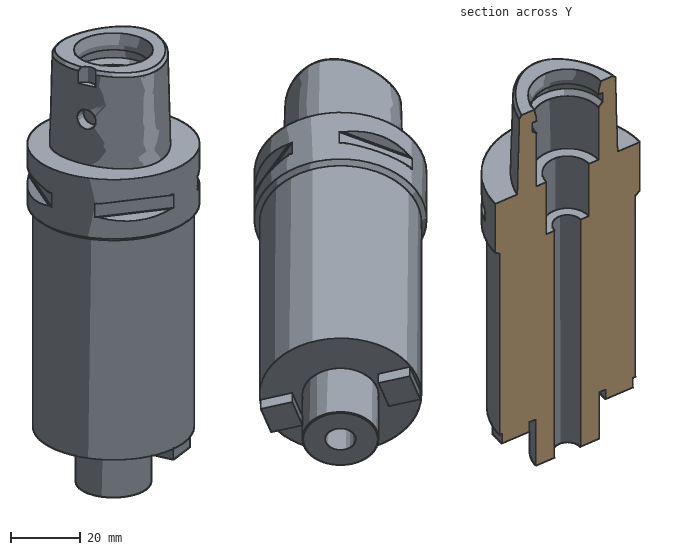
import cadquery as cq
import math

TOTAL_HEIGHT = 138.0
SHANK_LENGTH = 30.0
FLANGE_LENGTH = 20.1
PILOT_LENGTH = 18.0
SHANK_BASE_Z = TOTAL_HEIGHT - SHANK_LENGTH
FLANGE_BASE_Z = SHANK_BASE_Z - FLANGE_LENGTH

FLANGE_RADIUS = 25.0
BODY_RADIUS = 23.5
FLANGE_CHAMFER_HEIGHT = 1.2
PILOT_RADIUS = 11.0
PILOT_CHAMFER = 0.3

SHANK_BASE_RADIUS = 17.5
SHANK_TAPER = 1 / 40
LOBE_RISE = 1.0
LOBE_COUNT = 3
SHANK_CHAMFER_HEIGHT = 1.1
SHANK_CHAMFER_INSET = 0.8

MOUTH_RADIUS = 11.5
BORE_RADIUS = 10.6
GROOVE_RADIUS = 12.1
SCREW_SEAT_RADIUS = 7.3
COOLANT_RADIUS = 4.4
MOUTH_CONE_DEPTH = 3.5
GROOVE_TOP_DEPTH = 5.0
GROOVE_BOTTOM_DEPTH = 9.7
BORE_DEPTH = SHANK_LENGTH
SCREW_SEAT_DEPTH = SHANK_LENGTH + FLANGE_LENGTH

NOTCH_RADIUS = 3.2
NOTCH_CENTER_Y = -17.0
NOTCH_DEPTH = 5.0
SIDE_HOLE_RADIUS = 3.0
SIDE_HOLE_DEPTH_BELOW_TOP = 15.7
SIDE_HOLE_FLOOR_Y = -12.4

SLOT_COUNT = 4
SLOT_FIRST_ANGLE = 45
SLOT_FLOOR_RADIUS = 22.0
SLOT_FLARE_RADIUS = 22.5
SLOT_FLOOR_HEIGHT = 4.3
SLOT_MOUTH_HEIGHT = 6.8
SLOT_CENTER_Z = SHANK_BASE_Z - FLANGE_LENGTH / 2

KEY_INNER_X = 13.1
KEY_OUTER_X = 22.6
KEY_WIDTH = 10.1
KEY_HEIGHT = 3.7


def revolve_profile(points):
    """Turn a closed (radius, z) outline about the Z axis."""
    return cq.Workplane("XZ").polyline(points).close().revolve(360, (0, 0), (0, 1))


def turned_body():
    return revolve_profile([
        (0, 0),
        (PILOT_RADIUS - PILOT_CHAMFER, 0),
        (PILOT_RADIUS, PILOT_CHAMFER),
        (PILOT_RADIUS, PILOT_LENGTH),
        (BODY_RADIUS, PILOT_LENGTH),
        (BODY_RADIUS, FLANGE_BASE_Z),
        (FLANGE_RADIUS, FLANGE_BASE_Z + FLANGE_CHAMFER_HEIGHT),
        (FLANGE_RADIUS, SHANK_BASE_Z),
        (0, SHANK_BASE_Z),
    ])


def lobed_wire(mean_radius, z):
    """Rounded three-lobed curve with one lobe pointing along +Y.

    A point circling at mean_radius is shifted by LOBE_RISE in a direction that
    turns backwards (LOBE_COUNT - 1) times per lap, which raises the lobes.
    """
    def point(t):
        angle = 2 * math.pi * t
        shift_angle = (LOBE_COUNT - 1) * angle
        across = mean_radius * math.sin(angle) - LOBE_RISE * math.sin(shift_angle)
        along = mean_radius * math.cos(angle) + LOBE_RISE * math.cos(shift_angle)
        return (across, along, z)

    return cq.Workplane("XY").parametricCurve(point, N=72).val()


def lobed_frustum(bottom_radius, bottom_z, top_radius, top_z):
    wires = [lobed_wire(bottom_radius, bottom_z), lobed_wire(top_radius, top_z)]
    return cq.Workplane(obj=cq.Solid.makeLoft(wires, True))


def shank():
    chamfer_z = TOTAL_HEIGHT - SHANK_CHAMFER_HEIGHT
    chamfer_radius = SHANK_BASE_RADIUS - SHANK_TAPER * (chamfer_z - SHANK_BASE_Z)
    taper = lobed_frustum(SHANK_BASE_RADIUS, SHANK_BASE_Z, chamfer_radius, chamfer_z)
    rim = lobed_frustum(chamfer_radius, chamfer_z, chamfer_radius - SHANK_CHAMFER_INSET, TOTAL_HEIGHT)
    return taper.union(rim)


def stepped_bore():
    groove_top_z = TOTAL_HEIGHT - GROOVE_TOP_DEPTH
    groove_bottom_z = TOTAL_HEIGHT - GROOVE_BOTTOM_DEPTH
    groove_slope_height = GROOVE_RADIUS - BORE_RADIUS
    bore_floor_z = TOTAL_HEIGHT - BORE_DEPTH
    screw_seat_z = TOTAL_HEIGHT - SCREW_SEAT_DEPTH
    return revolve_profile([
        (0, 0),
        (COOLANT_RADIUS, 0),
        (COOLANT_RADIUS, screw_seat_z),
        (SCREW_SEAT_RADIUS, screw_seat_z),
        (SCREW_SEAT_RADIUS, bore_floor_z),
        (BORE_RADIUS, bore_floor_z),
        (BORE_RADIUS, groove_bottom_z),
        (GROOVE_RADIUS, groove_bottom_z + groove_slope_height),
        (GROOVE_RADIUS, groove_top_z),
        (BORE_RADIUS, groove_top_z),
        (BORE_RADIUS, TOTAL_HEIGHT - MOUTH_CONE_DEPTH),
        (MOUTH_RADIUS, TOTAL_HEIGHT),
        (0, TOTAL_HEIGHT),
    ])


def rim_notch():
    return (
        cq.Workplane("XY", origin=(0, NOTCH_CENTER_Y, TOTAL_HEIGHT - NOTCH_DEPTH))
        .circle(NOTCH_RADIUS)
        .extrude(NOTCH_DEPTH)
    )


def side_hole():
    return (
        cq.Workplane("XZ", origin=(0, SIDE_HOLE_FLOOR_Y, TOTAL_HEIGHT - SIDE_HOLE_DEPTH_BELOW_TOP))
        .circle(SIDE_HOLE_RADIUS)
        .extrude(FLANGE_RADIUS + SIDE_HOLE_FLOOR_Y)
    )


def gripper_slot(angle):
    """Straight slot with a flat floor and flared sides, facing the given angle."""
    half_floor = SLOT_FLOOR_HEIGHT / 2
    half_mouth = SLOT_MOUTH_HEIGHT / 2
    return (
        cq.Workplane("XZ", origin=(0, 0, SLOT_CENTER_Z))
        .polyline([
            (SLOT_FLOOR_RADIUS, -half_floor),
            (SLOT_FLARE_RADIUS, -half_floor),
            (FLANGE_RADIUS, -half_mouth),
            (FLANGE_RADIUS, half_mouth),
            (SLOT_FLARE_RADIUS, half_floor),
            (SLOT_FLOOR_RADIUS, half_floor),
        ])
        .close()
        .extrude(FLANGE_RADIUS, both=True)
        .rotate((0, 0, 0), (0, 0, 1), angle)
    )


def drive_key(side):
    key_center_x = side * (KEY_INNER_X + KEY_OUTER_X) / 2
    return (
        cq.Workplane("XY", origin=(key_center_x, 0, PILOT_LENGTH))
        .rect(KEY_OUTER_X - KEY_INNER_X, KEY_WIDTH)
        .extrude(-KEY_HEIGHT)
    )


result = turned_body().union(shank())
for side in (-1, 1):
    result = result.union(drive_key(side))
for index in range(SLOT_COUNT):
    result = result.cut(gripper_slot(SLOT_FIRST_ANGLE + index * 360 / SLOT_COUNT))
result = result.cut(stepped_bore()).cut(rim_notch()).cut(side_hole())